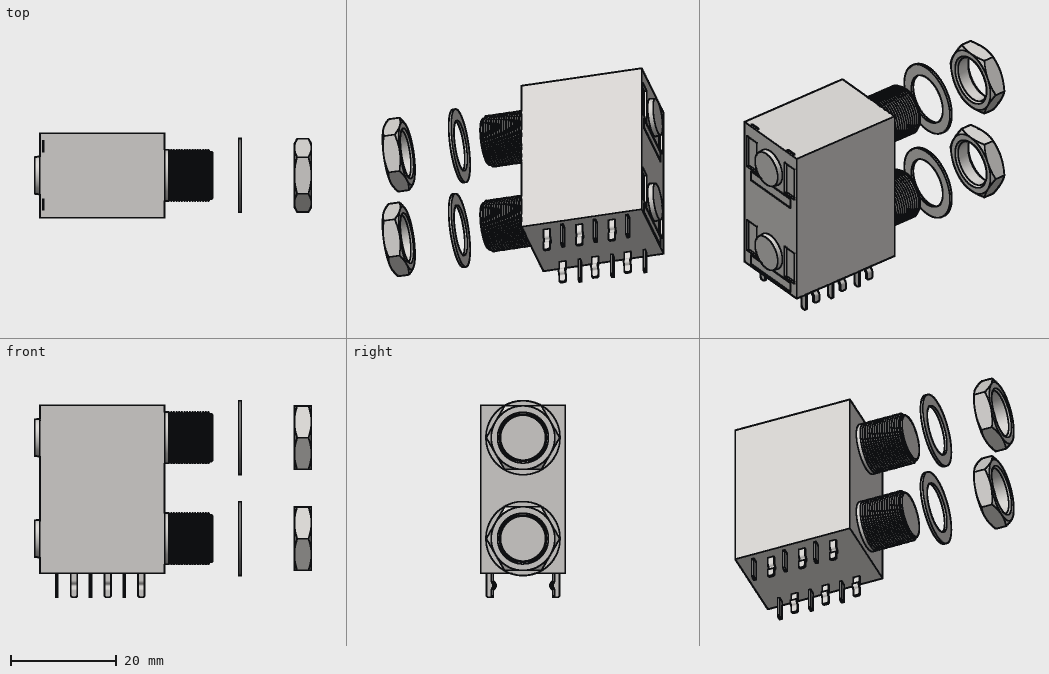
import cadquery as cq
import math


BLOCK_LENGTH = 23.5
BLOCK_WIDTH = 16.0
BLOCK_HEIGHT = 31.75

JACK_PITCH = 19.05
LOWER_JACK_Z = 6.57
JACK_HEIGHTS = [LOWER_JACK_Z, LOWER_JACK_Z + JACK_PITCH]

THREAD_DIAMETER = 9.75
THREAD_ROOT_DIAMETER = 9.0
THREAD_PITCH = 0.5
THREAD_GROOVES = 15
BUSHING_LENGTH = 9.1
COLLAR_LENGTH = 0.78
BUSHING_END_CHAMFER = 0.25

BUTTON_BASE_DIAMETER = 7.25
BUTTON_FACE_DIAMETER = 6.95
BUTTON_HEIGHT = 1.0

SIDE_POCKET_WIDTH = 3.0
SIDE_POCKET_HEIGHT = 6.9
SIDE_POCKET_DEPTH = 0.5
SIDE_POCKET_Y = 5.75
SIDE_POCKET_DROP = 0.12
PLATE_WIDTH = 12.0
PLATE_HEIGHT = 2.05
PLATE_DEPTH = 0.1
PLATE_DROP = 5.07

SLIT_WIDTH = 0.2
SLIT_LENGTH = 2.0
SLIT_DEPTH = 0.5
SLIT_X = 0.6
SLIT_Y = 5.5

TERMINAL_LENGTH = 4.5
TERMINAL_WIDTH = 1.27
TERMINAL_THICKNESS = 0.4
TERMINAL_TIP_CHAMFER = 0.25
TERMINAL_PITCH = 6.35
TERMINALS_PER_ROW = 3
BLADE_START_X = 3.18
CLIP_START_X = 6.43
BLADE_Y = 6.27
CLIP_INNER_Y = 5.58

KINK_Z = -2.27
KINK_HALF_HEIGHT = 0.96
KINK_DEPTH = 0.5

WASHER_X = 37.5
WASHER_THICKNESS = 0.5
WASHER_DIAMETER = 14.0
WASHER_BORE = 9.6

NUT_X = 48.0
NUT_THICKNESS = 3.2
NUT_ACROSS_FLATS = 12.0
NUT_BORE = 8.8
NUT_MOUTH_DIAMETER = 9.6
NUT_CHAMFER_ANGLE = 30.0


def revolve_about_x(outline, axis_z):
    """Revolve (x, radius) points about an axis parallel to X at height axis_z."""
    profile = cq.Workplane("XY").polyline(outline).close()
    return profile.revolve(360, (0, 0, 0), (1, 0, 0)).translate((0, 0, axis_z))


def box_at(size, centre):
    return cq.Workplane("XY").box(*size).translate(centre)


def bushing(axis_z):
    """Threaded bushing with ring grooves, from the front face of the block."""
    crest_radius = THREAD_DIAMETER / 2
    root_radius = THREAD_ROOT_DIAMETER / 2
    collar_end = BLOCK_LENGTH + COLLAR_LENGTH
    bushing_end = BLOCK_LENGTH + BUSHING_LENGTH
    half_groove = THREAD_PITCH / 2

    outline = [
        (BLOCK_LENGTH, 0),
        (BLOCK_LENGTH, crest_radius),
        (collar_end, crest_radius),
    ]
    for groove in range(THREAD_GROOVES):
        groove_start = collar_end + groove * THREAD_PITCH
        outline.append((groove_start + half_groove, root_radius))
        outline.append((groove_start + THREAD_PITCH, crest_radius))
    last_crest_end = collar_end + THREAD_GROOVES * THREAD_PITCH
    outline += [
        (last_crest_end + half_groove, root_radius),
        (bushing_end - BUSHING_END_CHAMFER, root_radius),
        (bushing_end, root_radius - BUSHING_END_CHAMFER),
        (bushing_end, 0),
    ]
    return revolve_about_x(outline, axis_z)


def button(axis_z):
    outline = [
        (0, 0),
        (0, BUTTON_BASE_DIAMETER / 2),
        (-BUTTON_HEIGHT, BUTTON_FACE_DIAMETER / 2),
        (-BUTTON_HEIGHT, 0),
    ]
    return revolve_about_x(outline, axis_z)


def rear_pockets(axis_z):
    """Two side pockets and one name plate pocket around a button."""
    plate_size = (2 * PLATE_DEPTH, PLATE_WIDTH, PLATE_HEIGHT)
    pockets = box_at(plate_size, (0, 0, axis_z - PLATE_DROP))
    side_size = (2 * SIDE_POCKET_DEPTH, SIDE_POCKET_WIDTH, SIDE_POCKET_HEIGHT)
    for side in (-1, 1):
        centre = (0, side * SIDE_POCKET_Y, axis_z - SIDE_POCKET_DROP)
        pockets = pockets.add(box_at(side_size, centre))
    return pockets.combine()


def top_slit(side):
    size = (SLIT_WIDTH, SLIT_LENGTH, 2 * SLIT_DEPTH)
    return box_at(size, (SLIT_X, side * SLIT_Y, BLOCK_HEIGHT))


def blade_terminal(x, side):
    """Flat terminal lying across X, with a chamfered tip."""
    size = (TERMINAL_THICKNESS, TERMINAL_WIDTH, TERMINAL_LENGTH)
    blade = box_at(size, (x, side * BLADE_Y, -TERMINAL_LENGTH / 2))
    return blade.edges("|X and <Z").chamfer(TERMINAL_TIP_CHAMFER)


def clip_terminal(x, side):
    """Flat terminal lying along X, kinked towards the middle of the block."""
    inner_y = CLIP_INNER_Y
    outer_y = CLIP_INNER_Y + TERMINAL_THICKNESS
    kink_top = KINK_Z + KINK_HALF_HEIGHT
    kink_bottom = KINK_Z - KINK_HALF_HEIGHT

    quarter = KINK_HALF_HEIGHT / 2
    half_depth = KINK_DEPTH / 2
    bend_angle = 2 * math.atan2(half_depth, quarter)
    mean_radius = quarter / math.sin(bend_angle)
    tight_radius = mean_radius - TERMINAL_THICKNESS / 2
    wide_radius = mean_radius + TERMINAL_THICKNESS / 2
    mean_y = (inner_y + outer_y) / 2
    end_centre_y = mean_y - mean_radius
    middle_centre_y = mean_y - KINK_DEPTH + mean_radius

    def end_arc_point(radius, end_z, angle, direction):
        return (
            end_centre_y + radius * math.cos(angle),
            end_z + direction * radius * math.sin(angle),
        )

    def add_kink(path, end_radius, middle_radius, start_z, stop_z, direction):
        path = path.threePointArc(
            end_arc_point(end_radius, start_z, bend_angle / 2, direction),
            end_arc_point(end_radius, start_z, bend_angle, direction),
        )
        path = path.threePointArc(
            (middle_centre_y - middle_radius, KINK_Z),
            end_arc_point(end_radius, stop_z, bend_angle, -direction),
        )
        return path.threePointArc(
            end_arc_point(end_radius, stop_z, bend_angle / 2, -direction),
            end_arc_point(end_radius, stop_z, 0, direction),
        )

    path = cq.Workplane("YZ").moveTo(outer_y, 0).lineTo(outer_y, kink_top)
    path = add_kink(path, wide_radius, tight_radius, kink_top, kink_bottom, -1)
    path = path.lineTo(outer_y, -TERMINAL_LENGTH).lineTo(inner_y, -TERMINAL_LENGTH)
    path = path.lineTo(inner_y, kink_bottom)
    path = add_kink(path, tight_radius, wide_radius, kink_bottom, kink_top, 1)
    path = path.lineTo(inner_y, 0).close()
    clip = path.extrude(TERMINAL_WIDTH / 2, both=True)
    clip = clip.edges("|Y and <Z").chamfer(TERMINAL_TIP_CHAMFER)
    if side < 0:
        clip = clip.mirror("XZ")
    return clip.translate((x, 0, 0))


def make_housing():
    block = box_at(
        (BLOCK_LENGTH, BLOCK_WIDTH, BLOCK_HEIGHT),
        (BLOCK_LENGTH / 2, 0, BLOCK_HEIGHT / 2),
    )
    for axis_z in JACK_HEIGHTS:
        block = block.cut(rear_pockets(axis_z))
        block = block.union(bushing(axis_z)).union(button(axis_z))
    for side in (-1, 1):
        block = block.cut(top_slit(side))
        for index in range(TERMINALS_PER_ROW):
            offset = index * TERMINAL_PITCH
            block = block.union(blade_terminal(BLADE_START_X + offset, side))
            block = block.union(clip_terminal(CLIP_START_X + offset, side))
    return block


def make_washer(axis_z):
    plane = cq.Workplane("YZ", origin=(WASHER_X, 0, axis_z))
    ring = plane.circle(WASHER_DIAMETER / 2).circle(WASHER_BORE / 2)
    return ring.extrude(WASHER_THICKNESS)


def make_nut(axis_z):
    """Hexagon nut with flats facing up and down and both faces chamfered."""
    corner_radius = NUT_ACROSS_FLATS / math.sqrt(3)
    face_radius = NUT_ACROSS_FLATS / 2
    bore_radius = NUT_BORE / 2
    mouth_radius = NUT_MOUTH_DIAMETER / 2
    mouth_depth = mouth_radius - bore_radius
    tan_chamfer = math.tan(math.radians(NUT_CHAMFER_ANGLE))
    corner_setback = (corner_radius - face_radius) * tan_chamfer
    nut_end = NUT_X + NUT_THICKNESS

    plane = cq.Workplane("YZ", origin=(NUT_X, 0, axis_z))
    hexagon = plane.polygon(6, 2 * corner_radius).extrude(NUT_THICKNESS)
    envelope = revolve_about_x(
        [
            (NUT_X, mouth_radius),
            (NUT_X, face_radius),
            (NUT_X + corner_setback, corner_radius),
            (nut_end - corner_setback, corner_radius),
            (nut_end, face_radius),
            (nut_end, mouth_radius),
            (nut_end - mouth_depth, bore_radius),
            (NUT_X + mouth_depth, bore_radius),
        ],
        axis_z,
    )
    return hexagon.intersect(envelope)


housing = make_housing()
washers = [make_washer(axis_z) for axis_z in JACK_HEIGHTS]
nuts = [make_nut(axis_z) for axis_z in JACK_HEIGHTS]

loose_parts = [part.val() for part in washers + nuts]
result = cq.Compound.makeCompound([housing.val(), *loose_parts])